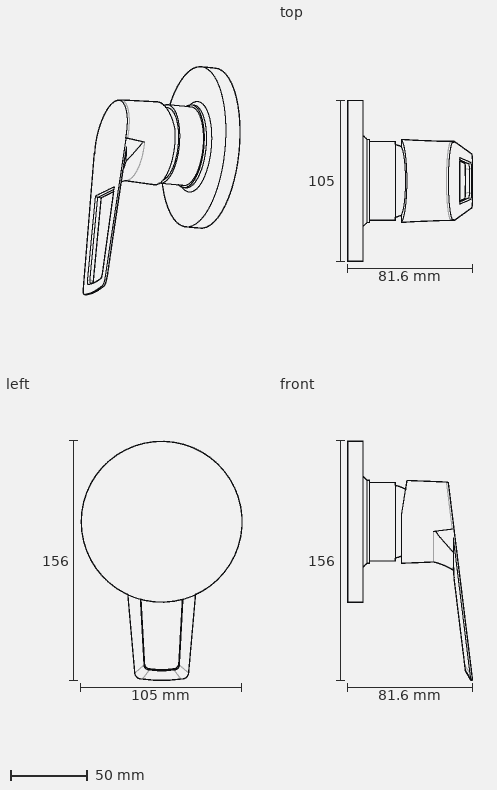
import cadquery as cq
import math


PLATE_RADIUS = 52.52
PLATE_THICKNESS = 10.1

COLLAR_BASE_RADIUS = 29.7
COLLAR_RADIUS = 27.2
COLLAR_FLARE = 2.7
COLLAR_LENGTH = 4.2
COLLAR_END = PLATE_THICKNESS + COLLAR_LENGTH

SLEEVE_RADIUS = 25.8
SLEEVE_LENGTH = 16.9
SLEEVE_END = COLLAR_END + SLEEVE_LENGTH
BALL_RADIUS = 24.5
BALL_CENTER_X = SLEEVE_END - 5.6
BALL_END = SLEEVE_END + 12.5

HUB_BACK_X = 35.1
HUB_BACK_RADIUS = 27.2
HUB_TAPER = 0.04
HUB_BEND_Z = 4.0
HUB_TOP_BACK_X = 38.7
HUB_RIM_DEPTH = 1.2
HUB_RIM_INSET = 0.3

TOTAL_LENGTH_X = 81.6
TOTAL_HEIGHT = 156.0
LEVER_ANGLE = 7.0
LIP_THICKNESS = 1.2
LEVER_THICKNESS = 4.0
LEVER_TOP = -4.7
LEVER_TOP_HALF_WIDTH = 25.9
LEVER_END_HALF_WIDTH = 17.6
LEVER_CORNER_DROP = 4.0
LEVER_CORNER_INSET = 5.0
LEVER_END_BULGE = 1.0

WINDOW_TOP = -36.7
WINDOW_TOP_HALF_WIDTH = 14.2
WINDOW_END_HALF_WIDTH = 11.1
WINDOW_CORNER_DROP = 3.1
WINDOW_CORNER_INSET = 3.6
WINDOW_END_BULGE = 0.6
WINDOW_FRONT_FLARE = 1.0
WINDOW_BACK_FLARE = 0.5
TIP_BAR_WIDTH = 7.2

BLEND_START_X = 56.2
BLEND_MID = (62.5, 28.2)
BLEND_END = (69.0, 31.7)

lean = math.radians(LEVER_ANGLE)
TIP_Z = PLATE_RADIUS - TOTAL_HEIGHT
LEVER_TIP = (TIP_Z + LIP_THICKNESS * math.sin(lean)) / math.cos(lean)
FRONT_X = TOTAL_LENGTH_X + LEVER_TIP * math.sin(lean)
WINDOW_TIP = LEVER_TIP + TIP_BAR_WIDTH


def hub_radius(x):
    return HUB_BACK_RADIUS - HUB_TAPER * (x - HUB_BACK_X)


def lever_plane(depth):
    """Plane parallel to the leaning front face, set back by depth; local y runs up the lever."""
    normal = (math.cos(lean), 0, math.sin(lean))
    origin = (FRONT_X - depth * normal[0], 0, -depth * normal[2])
    return cq.Plane(origin=origin, xDir=(0, 1, 0), normal=normal)


def tapered_outline(work, top, top_half, end_half, tip, drop, inset, bulge):
    """Closed U-shape: straight top, tapering sides, round corners, bowed end."""
    corner_end = tip + bulge
    corner_start = corner_end + drop
    foot_half = end_half - inset
    mid_half = end_half - inset * (1 - math.sqrt(0.5))
    mid = corner_start - drop * math.sqrt(0.5)
    return (
        work.moveTo(-top_half, top)
        .lineTo(-end_half, corner_start)
        .threePointArc((-mid_half, mid), (-foot_half, corner_end))
        .threePointArc((0, tip), (foot_half, corner_end))
        .threePointArc((mid_half, mid), (end_half, corner_start))
        .lineTo(top_half, top)
        .close()
    )


def lever_outline(work):
    return tapered_outline(work, LEVER_TOP, LEVER_TOP_HALF_WIDTH, LEVER_END_HALF_WIDTH, LEVER_TIP,
                           LEVER_CORNER_DROP, LEVER_CORNER_INSET, LEVER_END_BULGE)


def window_outline(work, margin):
    return tapered_outline(work, WINDOW_TOP + margin, WINDOW_TOP_HALF_WIDTH + margin,
                           WINDOW_END_HALF_WIDTH + margin, WINDOW_TIP - margin,
                           WINDOW_CORNER_DROP, WINDOW_CORNER_INSET, WINDOW_END_BULGE)


def revolve_about_x(profile):
    return profile.close().revolve(360, (0, 0, 0), (1, 0, 0))


def make_plate():
    return cq.Workplane("YZ").circle(PLATE_RADIUS).extrude(PLATE_THICKNESS)


def make_collar():
    return revolve_about_x(
        cq.Workplane("XZ")
        .moveTo(PLATE_THICKNESS, 0)
        .lineTo(PLATE_THICKNESS, COLLAR_BASE_RADIUS)
        .lineTo(PLATE_THICKNESS + COLLAR_FLARE, COLLAR_RADIUS)
        .lineTo(COLLAR_END, COLLAR_RADIUS)
        .lineTo(COLLAR_END, 0)
    )


def make_sleeve():
    def ball_height(x):
        return math.sqrt(BALL_RADIUS ** 2 - (x - BALL_CENTER_X) ** 2)

    middle_x = (SLEEVE_END + BALL_END) / 2
    return revolve_about_x(
        cq.Workplane("XZ")
        .moveTo(COLLAR_END, 0)
        .lineTo(COLLAR_END, SLEEVE_RADIUS)
        .lineTo(SLEEVE_END, SLEEVE_RADIUS)
        .lineTo(SLEEVE_END, ball_height(SLEEVE_END))
        .threePointArc((middle_x, ball_height(middle_x)), (BALL_END, ball_height(BALL_END)))
        .lineTo(BALL_END, 0)
    )


def make_hub():
    drum = revolve_about_x(
        cq.Workplane("XZ")
        .moveTo(HUB_BACK_X, 0)
        .lineTo(HUB_BACK_X, HUB_BACK_RADIUS)
        .lineTo(TOTAL_LENGTH_X, hub_radius(TOTAL_LENGTH_X))
        .lineTo(TOTAL_LENGTH_X, 0)
    )
    top_z = hub_radius(HUB_TOP_BACK_X)
    back_slope = (HUB_TOP_BACK_X - HUB_BACK_X) / (top_z - HUB_BEND_Z)
    wedge_top = 2 * HUB_BACK_RADIUS
    wedge_x = HUB_BACK_X + back_slope * (wedge_top - HUB_BEND_Z)
    wedge = (
        cq.Workplane("XZ")
        .moveTo(HUB_BACK_X, HUB_BEND_Z)
        .lineTo(wedge_x, wedge_top)
        .lineTo(HUB_BACK_X, wedge_top)
        .close()
        .extrude(HUB_BACK_RADIUS, both=True)
    )
    front_waste = cq.Workplane(lever_plane(0)).circle(2 * HUB_BACK_RADIUS).extrude(TOTAL_LENGTH_X)
    hub = drum.cut(wedge).cut(front_waste)
    front_face = hub.faces(cq.selectors.DirectionMinMaxSelector(lever_plane(0).zDir))
    return front_face.chamfer(HUB_RIM_DEPTH, HUB_RIM_INSET)


def make_lever():
    """Thin lip around the edge, thickening behind it toward the window."""
    lip = lever_outline(cq.Workplane(lever_plane(LIP_THICKNESS))).extrude(LIP_THICKNESS)
    outer = lever_outline(cq.Workplane(lever_plane(LIP_THICKNESS))).wire().val()
    inner = window_outline(cq.Workplane(lever_plane(LEVER_THICKNESS)), WINDOW_BACK_FLARE).wire().val()
    bevel = cq.Solid.makeLoft([outer, inner], True)
    return lip.union(cq.Workplane(bevel))


def make_blend():
    """Trumpet-shaped flare, kept only within the width of the lever."""
    trumpet = revolve_about_x(
        cq.Workplane("XZ")
        .moveTo(BLEND_START_X, 0)
        .lineTo(BLEND_START_X, hub_radius(BLEND_START_X))
        .threePointArc(BLEND_MID, BLEND_END)
        .lineTo(BLEND_END[0], 0)
    )
    return trumpet.intersect(lever_outline(cq.Workplane(lever_plane(0))).extrude(-TOTAL_LENGTH_X))


def make_window():
    """Through window that widens from its waist toward both faces of the lever."""
    waist = window_outline(cq.Workplane(lever_plane(LIP_THICKNESS)), 0).wire().val()
    front = window_outline(cq.Workplane(lever_plane(0)), WINDOW_FRONT_FLARE).wire().val()
    back = window_outline(cq.Workplane(lever_plane(LEVER_THICKNESS)), WINDOW_BACK_FLARE).wire().val()
    front_half = cq.Workplane(cq.Solid.makeLoft([waist, front], True))
    back_half = cq.Workplane(cq.Solid.makeLoft([back, waist], True))
    return front_half.union(back_half)


def make_handle(sleeve):
    handle = make_hub().union(make_blend()).union(make_lever())
    return handle.cut(make_window()).cut(sleeve)


plate = make_plate()
collar = make_collar()
sleeve = make_sleeve()
handle = make_handle(sleeve)

result = cq.Compound.makeCompound([plate.val(), collar.val(), sleeve.val(), *handle.solids().vals()])